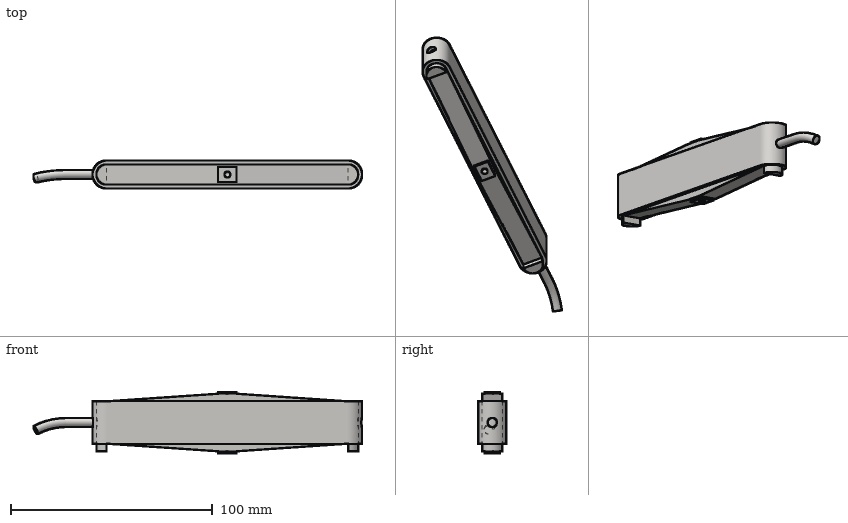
import cadquery as cq
import math

sleeve_length = 133.7
sleeve_width = 14.0
sleeve_height = 21.2
wall = 2.0

core_length = sleeve_length - 2 * wall
core_width = sleeve_width - 2 * wall
core_height = 28.5
ridge_length = 11.0
end_flat_length = 5.9

total_height = 30.5
pad_length = 9.1
pad_width = 7.5
dimple_diameter = 3.0

cable_diameter = 4.5
straight_reach = 13.0
bend_radius = 29.4
bend_angle = 31.0
bend_tilt = 26.0


def make_stadium(length, width, height):
    return cq.Workplane("XY").slot2D(length, width).extrude(height / 2, both=True)


def make_cable_bore():
    """Bore on the X axis that passes through both end walls of the sleeve."""
    return cq.Workplane("YZ").circle(cable_diameter / 2).extrude(sleeve_length, both=True)


def make_sleeve():
    outside = make_stadium(sleeve_length, sleeve_width, sleeve_height)
    opening = make_stadium(core_length, core_width, sleeve_height)
    return outside.cut(opening).cut(make_cable_bore())


def make_core_profile():
    """Slab in the XZ plane with flat ends that slope up to a ridge on each face."""
    end_x = core_length / 2
    slope_x = end_x - end_flat_length
    ridge_x = ridge_length / 2
    low_z = sleeve_height / 2
    high_z = core_height / 2
    upper_edge = [(-end_x, low_z), (-slope_x, low_z), (-ridge_x, high_z)]
    upper_edge += [(-x, z) for x, z in reversed(upper_edge)]
    lower_edge = [(x, -z) for x, z in reversed(upper_edge)]
    return cq.Workplane("XZ").polyline(upper_edge + lower_edge).close().extrude(core_width / 2, both=True)


def make_feet():
    """Half-round feet under both ends of the core, level with the lower ridge."""
    foot_height = (core_height - sleeve_height) / 2
    straight_length = core_length - core_width
    foot_plane = cq.Workplane("XY").workplane(offset=-core_height / 2)
    feet = foot_plane.slot2D(core_length, core_width).extrude(foot_height)
    middle = cq.Workplane("XY").box(straight_length, core_width, core_height)
    return feet.cut(middle)


def make_dimples():
    """Balls centred on the two pad faces, so each cuts a hemisphere."""
    pad_face_z = total_height / 2
    centres = [(0, 0, pad_face_z), (0, 0, -pad_face_z)]
    return cq.Workplane("XY").pushPoints(centres).sphere(dimple_diameter / 2)


def make_core():
    core = make_stadium(core_length, core_width, core_height).intersect(make_core_profile())
    core = core.union(make_feet())
    core = core.union(cq.Workplane("XY").box(pad_length, pad_width, total_height))
    return core.cut(make_dimples())


def make_cable(core):
    """Cable that starts on the rounded end of the core."""
    inner_x = -(core_length - core_width) / 2
    bend_x = -sleeve_length / 2 - straight_reach

    def arc_point(angle):
        turn = math.radians(angle)
        return bend_x - bend_radius * math.sin(turn), -bend_radius * (1 - math.cos(turn))

    path = (
        cq.Workplane("XZ").moveTo(inner_x, 0).lineTo(bend_x, 0)
        .threePointArc(arc_point(bend_angle / 2), arc_point(bend_angle))
    )
    cable = cq.Workplane("YZ", origin=(inner_x, 0, 0)).circle(cable_diameter / 2).sweep(path)
    cable = cable.rotate((0, 0, 0), (1, 0, 0), -bend_tilt)
    return cable.cut(core)


sleeve = make_sleeve()
core = make_core()
cable = make_cable(core)

result = cq.Compound.makeCompound([sleeve.val(), core.val(), cable.val()])